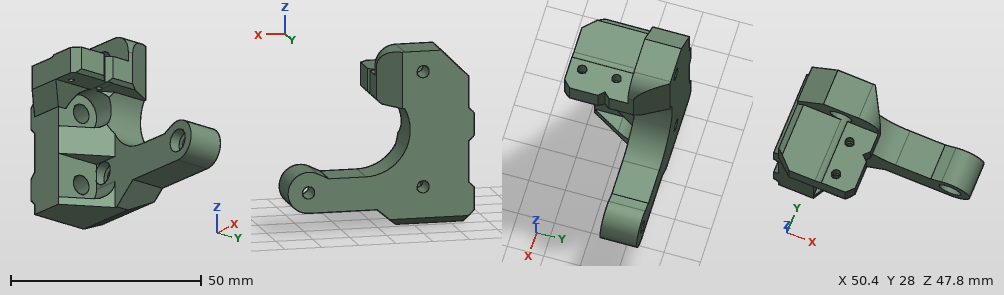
import cadquery as cq
import math

TOTAL_LENGTH = 50.4
TOTAL_HEIGHT = 47.75
TOTAL_DEPTH = 28.0
PLATE_THICKNESS = 10.05
BLOCK_DEPTH = 23.05
LUG_HEIGHT = 1.5
BLOCK_RIGHT = 11.35

SCREW_SPACING = 31.0
SCREW_X = 13.85
SCREW_Z = 11.2
SCREW_DIAMETER = 3.3
SCREW_HEAD_DIAMETER = 6.2
SCREW_SEAT_THICKNESS = 7.0
CUTOUT_RADIUS = 12.0

TOP_CHAMFER = 7.35
TOP_FILLET = 5.55
ARM_SHOULDER_X = 39.35
FOOT_TOP_X = 26.4
FOOT_BOTTOM_X = 19.7
WALL_ANGLE = 60.0

PLATFORM_RIGHT = 24.45
PLATFORM_BOTTOM = 32.5
PLATFORM_TOP = 39.65
PLATFORM_LEFT_CHAMFER = 1.7
PLATFORM_FRONT_CHAMFER = 2.0
PLATFORM_BOTTOM_CHAMFER = 1.0
NOTCH_Y = -16.8
NOTCH_DEPTH = 1.5
PIN_X = 18.35
PIN_FIRST_Y = -14.95
PIN_SPACING = 9.4
PIN_DIAMETER = 1.6
PIN_MOUTH_DIAMETER = 2.4
PIN_MOUTH_DEPTH = 4.05

GUSSET_RIGHT = 18.9
GAP_TOP = 14.35

BOLT_Z = 7.35
BOLT_SPACING = 20.0
BOLT_DIAMETER = 5.3
BOLT_RECESS_RADIUS = 5.25
LUG_HALF_WIDTH = 3.0
FOOT_CHAMFER_DEPTH = 6.3
FOOT_CHAMFER_HEIGHT = 2.8

FAR_SCREW_X = SCREW_X + SCREW_SPACING
TOP_SCREW_Z = SCREW_Z + SCREW_SPACING
PLATFORM_LEFT_TOP = TOP_SCREW_Z - SCREW_HEAD_DIAMETER / 2
CUTOUT_X = SCREW_X + SCREW_SPACING / 2
CUTOUT_Z = SCREW_Z + SCREW_SPACING / 2
ARM_TOP = CUTOUT_Z - CUTOUT_RADIUS
ARM_END_RADIUS = TOTAL_LENGTH - FAR_SCREW_X
OVERHANG = TOTAL_DEPTH - BLOCK_DEPTH
BOLT_Y = -(PLATE_THICKNESS + BOLT_RECESS_RADIUS)
BOLT_HEIGHTS = [BOLT_Z, BOLT_Z + BOLT_SPACING]


def box(x_range, y_range, z_range):
    """Box given by its lower and upper limit along each axis."""
    lower, upper = zip(x_range, y_range, z_range)
    size = [high - low for low, high in zip(lower, upper)]
    return cq.Workplane("XY").box(*size, centered=False).translate(lower)


def extrude_back_to_front(outline, depth):
    """Extrude an XZ outline from the back face toward the front."""
    return outline.close().extrude(depth)


def x_cylinder(radius, z, start, end):
    """Cylinder along X on a cross bolt axis."""
    return cq.Workplane("YZ", origin=(start, BOLT_Y, z)).circle(radius).extrude(end - start)


def make_plate():
    """Thick back plate with its arm and large round cutout."""
    shoulder_dx = ARM_SHOULDER_X - FAR_SCREW_X
    shoulder_dz = ARM_TOP - SCREW_Z
    shoulder_distance = math.hypot(shoulder_dx, shoulder_dz)
    tangent_angle = math.atan2(shoulder_dz, shoulder_dx) - math.acos(ARM_END_RADIUS / shoulder_distance)
    tangent_x = FAR_SCREW_X + ARM_END_RADIUS * math.cos(tangent_angle)
    tangent_z = SCREW_Z + ARM_END_RADIUS * math.sin(tangent_angle)

    cutout_rise = PLATFORM_BOTTOM - CUTOUT_Z
    cutout_start_x = CUTOUT_X - math.sqrt(CUTOUT_RADIUS**2 - cutout_rise**2)
    cutout_middle = CUTOUT_RADIUS / math.sqrt(2)
    fillet_middle = TOP_FILLET * (1 - 1 / math.sqrt(2))
    outline = (
        cq.Workplane("XZ")
        .moveTo(LUG_HEIGHT, 0)
        .lineTo(LUG_HEIGHT, TOTAL_HEIGHT - TOP_CHAMFER)
        .lineTo(LUG_HEIGHT + TOP_CHAMFER, TOTAL_HEIGHT)
        .lineTo(PLATFORM_RIGHT - TOP_FILLET, TOTAL_HEIGHT)
        .threePointArc(
            (PLATFORM_RIGHT - fillet_middle, TOTAL_HEIGHT - fillet_middle),
            (PLATFORM_RIGHT, TOTAL_HEIGHT - TOP_FILLET),
        )
        .lineTo(PLATFORM_RIGHT, PLATFORM_BOTTOM)
        .lineTo(cutout_start_x, PLATFORM_BOTTOM)
        .threePointArc((CUTOUT_X - cutout_middle, CUTOUT_Z - cutout_middle), (CUTOUT_X, ARM_TOP))
        .lineTo(ARM_SHOULDER_X, ARM_TOP)
        .lineTo(tangent_x, tangent_z)
        .threePointArc((TOTAL_LENGTH, SCREW_Z), (FAR_SCREW_X, SCREW_Z - ARM_END_RADIUS))
        .lineTo(FOOT_TOP_X, SCREW_Z - ARM_END_RADIUS)
        .lineTo(FOOT_BOTTOM_X, 0)
    )
    return extrude_back_to_front(outline, PLATE_THICKNESS)


def make_block():
    """Upright block that carries the platform and the lugs."""
    return box((LUG_HEIGHT, BLOCK_RIGHT), (-BLOCK_DEPTH, 0), (0, PLATFORM_BOTTOM))


def make_lug(z):
    """Full-depth lug with 45 degree flanks."""
    root = LUG_HALF_WIDTH + LUG_HEIGHT
    outline = cq.Workplane("XZ").polyline([
        (LUG_HEIGHT, z - root),
        (0, z - LUG_HALF_WIDTH),
        (0, z + LUG_HALF_WIDTH),
        (LUG_HEIGHT, z + root),
    ])
    return extrude_back_to_front(outline, BLOCK_DEPTH)


def make_gusset():
    """Slanted gusset between the block and the plate, opened around the lower screw."""
    gusset = (
        cq.Workplane("XY")
        .polyline([
            (BLOCK_RIGHT, -PLATE_THICKNESS),
            (GUSSET_RIGHT, -PLATE_THICKNESS),
            (BLOCK_RIGHT, -BLOCK_DEPTH),
        ])
        .close()
        .extrude(PLATFORM_BOTTOM)
    )
    gap = box((BLOCK_RIGHT, GUSSET_RIGHT), (-BLOCK_DEPTH, -PLATE_THICKNESS), (BOLT_Z, GAP_TOP))
    cutout = cq.Workplane("XZ").center(CUTOUT_X, CUTOUT_Z).circle(CUTOUT_RADIUS).extrude(TOTAL_DEPTH)
    gusset = gusset.cut(gap).cut(cutout)
    for z in BOLT_HEIGHTS:
        recess_heights = (z - BOLT_RECESS_RADIUS, z + BOLT_RECESS_RADIUS)
        gusset = gusset.cut(box((BLOCK_RIGHT, GUSSET_RIGHT), (-BLOCK_DEPTH, BOLT_Y), recess_heights))
    return gusset


def make_platform():
    """Overhanging platform with a stepped top and sloped supports below."""
    outline = cq.Workplane("XZ").polyline([
        (LUG_HEIGHT, PLATFORM_BOTTOM - OVERHANG),
        (LUG_HEIGHT, PLATFORM_LEFT_TOP - PLATFORM_LEFT_CHAMFER),
        (LUG_HEIGHT + PLATFORM_LEFT_CHAMFER, PLATFORM_LEFT_TOP),
        (SCREW_X, PLATFORM_LEFT_TOP),
        (SCREW_X, PLATFORM_TOP),
        (PLATFORM_RIGHT, PLATFORM_TOP),
        (PLATFORM_RIGHT, PLATFORM_BOTTOM),
        (BLOCK_RIGHT + OVERHANG, PLATFORM_BOTTOM),
        (BLOCK_RIGHT, PLATFORM_BOTTOM - OVERHANG),
    ])
    platform = extrude_back_to_front(outline, TOTAL_DEPTH)
    plan = (
        cq.Workplane("XY")
        .polyline([
            (LUG_HEIGHT, 0),
            (LUG_HEIGHT, -BLOCK_DEPTH),
            (LUG_HEIGHT + OVERHANG, -TOTAL_DEPTH),
            (PLATFORM_RIGHT - PLATFORM_FRONT_CHAMFER, -TOTAL_DEPTH),
            (PLATFORM_RIGHT, -TOTAL_DEPTH + PLATFORM_FRONT_CHAMFER),
            (PLATFORM_RIGHT, NOTCH_Y - NOTCH_DEPTH),
            (PLATFORM_RIGHT - NOTCH_DEPTH, NOTCH_Y),
            (PLATFORM_RIGHT, NOTCH_Y + NOTCH_DEPTH),
            (PLATFORM_RIGHT, 0),
        ])
        .close()
        .extrude(TOTAL_HEIGHT)
    )
    under_slope = (
        cq.Workplane("YZ")
        .polyline([
            (-BLOCK_DEPTH, PLATFORM_BOTTOM - OVERHANG),
            (-TOTAL_DEPTH, PLATFORM_BOTTOM - OVERHANG),
            (-TOTAL_DEPTH, PLATFORM_BOTTOM),
        ])
        .close()
        .extrude(TOTAL_LENGTH)
    )
    return platform.intersect(plan).cut(under_slope)


def make_edge_cuts():
    """Slanted cuts on the upper right side, the platform underside and the foot."""
    side_start_y = -PLATE_THICKNESS + NOTCH_DEPTH
    side_cut = (
        cq.Workplane("XY", origin=(0, 0, PLATFORM_BOTTOM))
        .polyline([
            (PLATFORM_RIGHT, side_start_y),
            (PLATFORM_RIGHT, 0),
            (PLATFORM_RIGHT + side_start_y / math.tan(math.radians(WALL_ANGLE)), 0),
        ])
        .close()
        .extrude(TOTAL_HEIGHT - PLATFORM_BOTTOM)
    )
    underside_cut = extrude_back_to_front(
        cq.Workplane("XZ").polyline([
            (PLATFORM_RIGHT - PLATFORM_BOTTOM_CHAMFER, PLATFORM_BOTTOM),
            (PLATFORM_RIGHT, PLATFORM_BOTTOM),
            (PLATFORM_RIGHT, PLATFORM_BOTTOM + PLATFORM_BOTTOM_CHAMFER),
        ]),
        TOTAL_DEPTH,
    )
    foot_cut = (
        cq.Workplane("YZ")
        .polyline([(0, 0), (-FOOT_CHAMFER_DEPTH, 0), (0, FOOT_CHAMFER_HEIGHT)])
        .close()
        .extrude(TOTAL_LENGTH)
    )
    return [side_cut, underside_cut, foot_cut]


def make_screw_hole(x, z, head_depth):
    """Through hole with a head pocket reaching head_depth from the back face."""
    hole = cq.Workplane("XZ").center(x, z).circle(SCREW_DIAMETER / 2).extrude(PLATE_THICKNESS)
    pocket = (
        cq.Workplane("XZ", origin=(0, -SCREW_SEAT_THICKNESS, 0))
        .center(x, z)
        .circle(SCREW_HEAD_DIAMETER / 2)
        .extrude(head_depth - SCREW_SEAT_THICKNESS)
    )
    return hole.union(pocket)


def make_pin_hole(y):
    """Vertical platform hole with a counterbored mouth."""
    return (
        cq.Workplane("XZ", origin=(PIN_X, y, 0))
        .polyline([
            (0, PLATFORM_BOTTOM),
            (PIN_DIAMETER / 2, PLATFORM_BOTTOM),
            (PIN_DIAMETER / 2, PLATFORM_TOP - PIN_MOUTH_DEPTH),
            (PIN_MOUTH_DIAMETER / 2, PLATFORM_TOP - PIN_MOUTH_DEPTH),
            (PIN_MOUTH_DIAMETER / 2, PLATFORM_TOP),
            (0, PLATFORM_TOP),
        ])
        .close()
        .revolve(360, (0, 0), (0, 1))
    )


result = make_plate().union(make_block()).union(make_gusset()).union(make_platform())

for bolt_z in BOLT_HEIGHTS:
    result = result.union(make_lug(bolt_z))

for bolt_z in BOLT_HEIGHTS:
    result = result.cut(x_cylinder(BOLT_DIAMETER / 2, bolt_z, 0, BLOCK_RIGHT))
    result = result.cut(x_cylinder(BOLT_RECESS_RADIUS, bolt_z, BLOCK_RIGHT, PLATFORM_RIGHT))

for edge_cut in make_edge_cuts():
    result = result.cut(edge_cut)

result = result.cut(make_screw_hole(SCREW_X, TOP_SCREW_Z, TOTAL_DEPTH))
for screw_x in [SCREW_X, FAR_SCREW_X]:
    result = result.cut(make_screw_hole(screw_x, SCREW_Z, PLATE_THICKNESS))

for index in range(2):
    result = result.cut(make_pin_hole(PIN_FIRST_Y - index * PIN_SPACING))